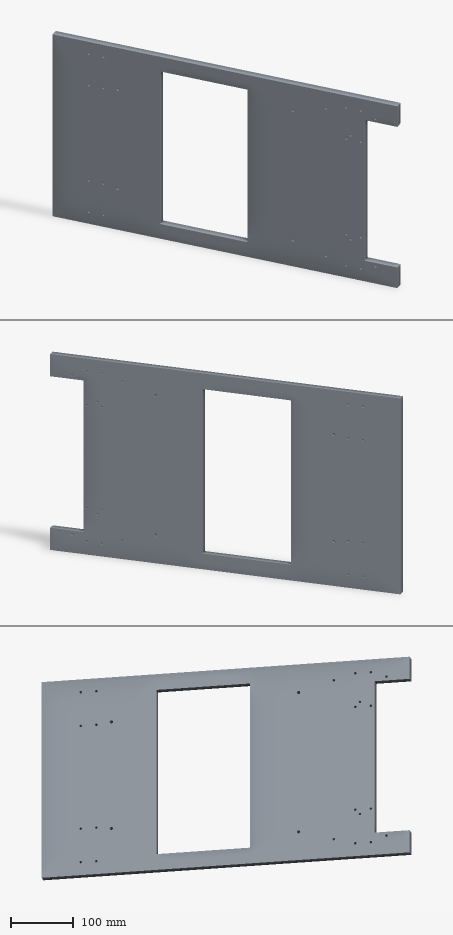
import cadquery as cq

LENGTH = 600.075
THICKNESS = 12.7
HEIGHT = 330.2

WINDOW_LENGTH = 152.8
WINDOW_HEIGHT = 277.0
WINDOW_RIGHT_X = 39.7
WINDOW_CENTRE_X = WINDOW_RIGHT_X - WINDOW_LENGTH / 2

NOTCH_DEPTH = 57.15
NOTCH_HEIGHT = 255.3

SMALL_HOLE = 4.05
LARGE_HOLE = 5.2

MOUNT_END_INSET = 63.5
MOUNT_COLUMN_PITCH = 25.4
MOUNT_OUTER_X = LENGTH / 2 - MOUNT_END_INSET
MOUNT_INNER_X = MOUNT_OUTER_X - MOUNT_COLUMN_PITCH
MOUNT_OUTER_Z = 143.4
MOUNT_INNER_Z = 86.7

ARM_ROW_Z = 134.1
HOLE_PAIRS = [
    (-186.5, 90.0, LARGE_HOLE),
    (118.75, 117.5, LARGE_HOLE),
    (176.1, ARM_ROW_Z, SMALL_HOLE),
    (218.8, 94.5, SMALL_HOLE),
    (262.0, ARM_ROW_Z, SMALL_HOLE),
]


def make_panel():
    """Panel with the window and the end notch cut through it."""
    panel = cq.Workplane("XY").box(LENGTH, THICKNESS, HEIGHT)
    window = cq.Workplane("XY").box(WINDOW_LENGTH, THICKNESS, WINDOW_HEIGHT)
    window = window.translate((WINDOW_CENTRE_X, 0, 0))
    notch = cq.Workplane("XY").box(NOTCH_DEPTH, THICKNESS, NOTCH_HEIGHT)
    notch = notch.translate(((LENGTH - NOTCH_DEPTH) / 2, 0, 0))
    return panel.cut(window).cut(notch)


def cut_mirrored_holes(body, x, z, diameter):
    """Drill two through holes at X, one above and one below the centre line."""
    front = cq.Workplane("XZ", origin=(0, -THICKNESS / 2, 0))
    cutters = front.pushPoints([(x, z), (x, -z)]).circle(diameter / 2).extrude(-THICKNESS)
    return body.cut(cutters)


def cut_mount_holes(body):
    """Drill the mounting-hole columns, mirrored between the two ends."""
    for column_x in (-MOUNT_OUTER_X, -MOUNT_INNER_X, MOUNT_INNER_X, MOUNT_OUTER_X):
        for row_z in (MOUNT_OUTER_Z, MOUNT_INNER_Z):
            body = cut_mirrored_holes(body, column_x, row_z, SMALL_HOLE)
    return body


def cut_hole_pairs(body):
    """Drill the separate hole pairs."""
    for x, z, diameter in HOLE_PAIRS:
        body = cut_mirrored_holes(body, x, z, diameter)
    return body


result = cut_hole_pairs(cut_mount_holes(make_panel()))